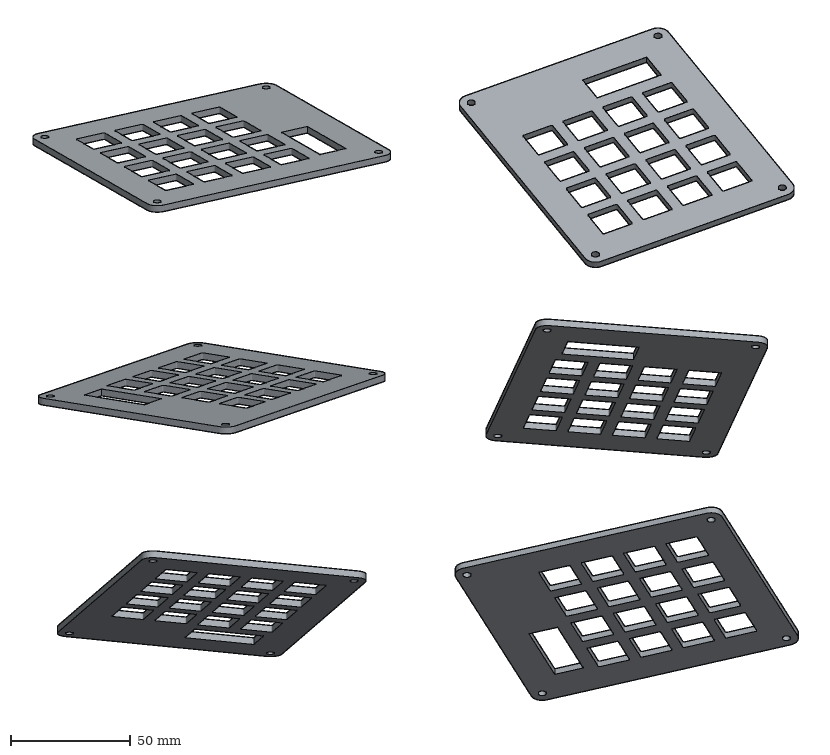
import cadquery as cq

plate_width = 99.2
plate_length = 119.7
plate_thickness = 3.0
corner_radius = 5.0

screw_hole_diameter = 3.4

key_rows = 4
key_columns = 4
key_pitch = 19.0
key_opening = 14.0
key_corner_radius = 0.5
key_grid_center_y = -9.5

window_width = 30.5
window_height = 12.8
window_center_x = 18.7
window_center_y = 38.8


def make_plate():
    """Flat plate with rounded corners, resting on Z = 0."""
    plate = cq.Workplane("XY").box(
        plate_width, plate_length, plate_thickness, centered=(True, True, False)
    )
    return plate.edges("|Z").fillet(corner_radius)


def screw_holes():
    """Four pins that cut the corner holes."""
    spacing_x = plate_width - 2 * corner_radius
    spacing_y = plate_length - 2 * corner_radius
    return (
        cq.Workplane("XY")
        .rect(spacing_x, spacing_y, forConstruction=True)
        .vertices()
        .circle(screw_hole_diameter / 2)
        .extrude(plate_thickness)
    )


def key_openings():
    """Blocks that cut the grid of key openings, with slightly rounded corners."""
    return (
        cq.Workplane("XY")
        .center(0, key_grid_center_y)
        .rarray(key_pitch, key_pitch, key_columns, key_rows)
        .rect(key_opening, key_opening)
        .extrude(plate_thickness)
        .edges("|Z")
        .fillet(key_corner_radius)
    )


def display_window():
    """Block that cuts the display window."""
    return (
        cq.Workplane("XY")
        .center(window_center_x, window_center_y)
        .rect(window_width, window_height)
        .extrude(plate_thickness)
    )


result = make_plate().cut(screw_holes()).cut(key_openings()).cut(display_window())